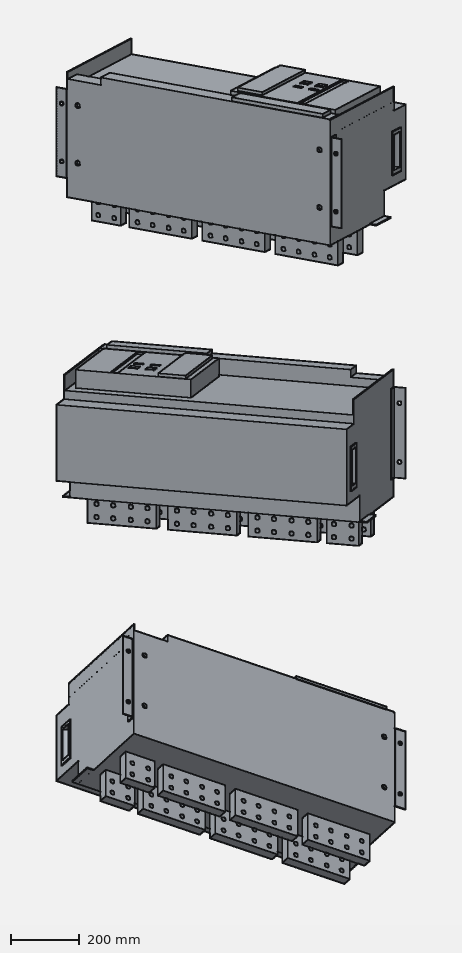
import cadquery as cq

HALF_WIDTH = 444.0
SHEET = 3.4
DEPTH = 432.0
BASE_DEPTH = 309.0
REAR_BOTTOM_Z = 81.0
REAR_TOP_Z = 309.0
DECK_Z = 335.0
DECK_REAR_Y = 364.0
PLATE_TOP_Z = 382.0

RAIL_DEPTH = 52.0
RAIL_LOW_Z = 361.0
RAIL_TOP_Z = 384.0
RAIL_STEP_X = -329.0

COVER_LEFT_X = 110.0
COVER_RIGHT_X = 417.0
COVER_INSET = 3.0
COVER_TOP_Z = 396.0

PANEL_LEFT_X = 67.0
PANEL_RIGHT_X = 420.0
PANEL_FRONT_Y = 69.0
PANEL_REAR_Y = 326.0
PANEL_TOP_Z = 390.0
RECESS_DEPTH = 6.0

PAD_LEFT_X = 84.0
PAD_RIGHT_X = 168.0
PAD_FRONT_Y = 80.0
PAD_REAR_Y = 324.0
PAD_TOP_Z = 399.0
SLOT_LEFT_X = 292.0
SLOT_RIGHT_X = 315.0
SLOT_FRONT_Y = 78.0
SLOT_REAR_Y = 321.0

WINDOW_WIDTH = 27.0
WINDOW_COLUMNS_X = (217.0, 268.0)
SQUARE_WINDOW_Y = 245.0
NARROW_WINDOW_Y = 203.0
NARROW_WINDOW_HEIGHT = 12.0

TAB_REACH = 21.0
TAB_FRONT_Y = 226.0

FRAME_FRONT_Y = 350.0
FRAME_REAR_Y = 399.0
FRAME_BOTTOM_Z = 115.0
FRAME_TOP_Z = 249.0
POCKET_RADIUS = 16.0
POCKET_BOTTOM_Z = 130.0
POCKET_TOP_Z = 237.0

FRONT_HOLE_DIAMETER = 15.0
FRONT_HOLE_DEPTH = 10.0
FRONT_HOLE_X = 407.0
FRONT_HOLES_Z = (109.0, 285.0)

BAR_DROP = 92.0
BAR_THICKNESS = 31.0
BAR_ROWS_Y = (92.0, 204.0)
NARROW_BAR_WIDTH = 98.0
NARROW_BAR_X = -366.0
WIDE_BAR_WIDTH = 211.0
WIDE_BAR_PITCH = 246.0
MIDDLE_WIDE_BAR_X = 63.0
BAR_HOLE_DIAMETER = 13.0
BAR_HOLES_Z = (-72.0, -33.0)
INNER_HOLE_OFFSET = 27.0
OUTER_HOLE_OFFSET = 78.0

BRACKET_TIP_X = 480.0
BRACKET_LEG = 29.0
BRACKET_BOTTOM_Z = 58.0
BRACKET_TOP_Z = 329.0
BRACKET_BEND_RADIUS = 3.4
BRACKET_HOLE_DIAMETER = 12.0
BRACKET_HOLE_X = 462.0
BRACKET_HOLES_Z = (106.0, 282.0)


def block(x_range, y_range, z_range):
    """Box between two limits along each axis."""
    return (
        cq.Workplane("XY")
        .box(
            x_range[1] - x_range[0],
            y_range[1] - y_range[0],
            z_range[1] - z_range[0],
            centered=False,
        )
        .translate((x_range[0], y_range[0], z_range[0]))
    )


def hole(x, z, diameter, y_range):
    """Cylinder along Y, for cutting a hole."""
    return (
        cq.Workplane("XZ", origin=(x, y_range[1], z))
        .circle(diameter / 2)
        .extrude(y_range[1] - y_range[0])
    )


def side_profile(top_points, x_range):
    """Side outline of the housing with the given points along its top, front to rear."""
    points = [
        (0, 0),
        *top_points,
        (DECK_REAR_Y, REAR_TOP_Z),
        (DEPTH, REAR_TOP_Z),
        (DEPTH, REAR_BOTTOM_Z),
        (BASE_DEPTH, REAR_BOTTOM_Z),
        (BASE_DEPTH, 0),
    ]
    return (
        cq.Workplane("YZ", origin=(x_range[0], 0, 0))
        .polyline(points)
        .close()
        .extrude(x_range[1] - x_range[0])
    )


def make_core():
    """Block with the low rail along its front and the deck behind it."""
    top_points = [(0, RAIL_LOW_Z), (RAIL_DEPTH, RAIL_LOW_Z), (RAIL_DEPTH, DECK_Z), (DECK_REAR_Y, DECK_Z)]
    return side_profile(top_points, (-HALF_WIDTH, HALF_WIDTH))


def make_left_side():
    """Left side plate with its foot tab and handle frame."""
    plate = side_profile([(0, PLATE_TOP_Z), (DECK_REAR_Y, PLATE_TOP_Z)], (-HALF_WIDTH, SHEET - HALF_WIDTH))
    tab = block((-HALF_WIDTH - TAB_REACH, -HALF_WIDTH), (TAB_FRONT_Y, BASE_DEPTH), (0, SHEET))
    frame = block(
        (-HALF_WIDTH - SHEET, -HALF_WIDTH), (FRAME_FRONT_Y, FRAME_REAR_Y), (FRAME_BOTTOM_Z, FRAME_TOP_Z)
    )
    return plate.union(tab).union(frame)


def make_left_pocket():
    """Half-round finger pocket, its axis upright in the outer face of the handle frame."""
    return (
        cq.Workplane("XY", origin=(-HALF_WIDTH - SHEET, (FRAME_FRONT_Y + FRAME_REAR_Y) / 2, POCKET_BOTTOM_Z))
        .circle(POCKET_RADIUS)
        .extrude(POCKET_TOP_Z - POCKET_BOTTOM_Z)
    )


def make_rail():
    """High part of the front rail with the cover on it."""
    rail = block((RAIL_STEP_X, HALF_WIDTH - SHEET), (0, RAIL_DEPTH), (RAIL_LOW_Z, RAIL_TOP_Z))
    cover = block(
        (COVER_LEFT_X, COVER_RIGHT_X),
        (COVER_INSET, RAIL_DEPTH - COVER_INSET),
        (RAIL_TOP_Z, COVER_TOP_Z),
    )
    return rail.union(cover)


def make_panel():
    """Control panel with its raised pad, slot and windows."""
    panel = block((PANEL_LEFT_X, PANEL_RIGHT_X), (PANEL_FRONT_Y, PANEL_REAR_Y), (DECK_Z, PANEL_TOP_Z))
    pad = block((PAD_LEFT_X, PAD_RIGHT_X), (PAD_FRONT_Y, PAD_REAR_Y), (PANEL_TOP_Z, PAD_TOP_Z))
    recess_z = (PANEL_TOP_Z - RECESS_DEPTH, PANEL_TOP_Z)
    panel = panel.union(pad).cut(block((SLOT_LEFT_X, SLOT_RIGHT_X), (SLOT_FRONT_Y, SLOT_REAR_Y), recess_z))
    windows = ((SQUARE_WINDOW_Y, WINDOW_WIDTH), (NARROW_WINDOW_Y, NARROW_WINDOW_HEIGHT))
    for x in WINDOW_COLUMNS_X:
        for y, height in windows:
            x_range = (x - WINDOW_WIDTH / 2, x + WINDOW_WIDTH / 2)
            y_range = (y - height / 2, y + height / 2)
            panel = panel.cut(block(x_range, y_range, recess_z))
    return panel


def make_bar(x, y, width, hole_offsets):
    """Terminal bar hanging from the housing, with two rows of holes through it."""
    y_range = (y, y + BAR_THICKNESS)
    bar = block((x - width / 2, x + width / 2), y_range, (-BAR_DROP, 0))
    for offset in hole_offsets:
        for z in BAR_HOLES_Z:
            bar = bar.cut(hole(x + offset, z, BAR_HOLE_DIAMETER, y_range))
    return bar


def make_housing():
    left_side = make_left_side()
    left_pocket = make_left_pocket()
    housing = make_core().union(left_side).union(left_side.mirror("YZ"))
    housing = housing.union(make_rail()).union(make_panel())
    housing = housing.cut(left_pocket).cut(left_pocket.mirror("YZ"))

    for x in (-FRONT_HOLE_X, FRONT_HOLE_X):
        for z in FRONT_HOLES_Z:
            housing = housing.cut(hole(x, z, FRONT_HOLE_DIAMETER, (0, FRONT_HOLE_DEPTH)))

    inner_pair = (-INNER_HOLE_OFFSET, INNER_HOLE_OFFSET)
    all_holes = (-OUTER_HOLE_OFFSET, *inner_pair, OUTER_HOLE_OFFSET)
    for y in BAR_ROWS_Y:
        housing = housing.union(make_bar(NARROW_BAR_X, y, NARROW_BAR_WIDTH, inner_pair))
        for step in (-1, 0, 1):
            x = MIDDLE_WIDE_BAR_X + step * WIDE_BAR_PITCH
            housing = housing.union(make_bar(x, y, WIDE_BAR_WIDTH, all_holes))
    return housing


def make_left_bracket():
    """Bent angle: one leg flat on the housing side, the other standing out level with the front."""
    z_range = (BRACKET_BOTTOM_Z, BRACKET_TOP_Z)
    leg = block((-HALF_WIDTH - SHEET, -HALF_WIDTH), (0, BRACKET_LEG), z_range)
    flange = block((-BRACKET_TIP_X, -HALF_WIDTH), (0, SHEET), z_range)
    bend_edge = cq.NearestToPointSelector((-HALF_WIDTH, 0, sum(z_range) / 2))
    bracket = leg.union(flange).edges(bend_edge).fillet(BRACKET_BEND_RADIUS)
    for z in BRACKET_HOLES_Z:
        bracket = bracket.cut(hole(-BRACKET_HOLE_X, z, BRACKET_HOLE_DIAMETER, (0, SHEET)))
    return bracket


housing = make_housing()
left_bracket = make_left_bracket()
brackets = [left_bracket, left_bracket.mirror("YZ")]

result = cq.Compound.makeCompound([housing.val(), *[bracket.val() for bracket in brackets]])